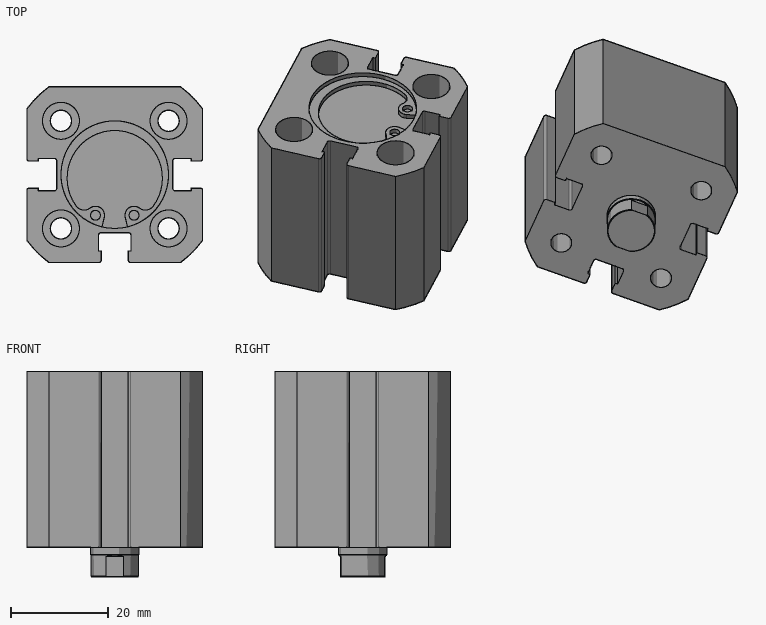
import cadquery as cq
import math

side = 36.0
half_side = side / 2
housing_height = side
overall_height = 42
corner_radius = 22.45
corner_end = math.sqrt(corner_radius**2 - half_side**2)
corner_mid = corner_radius / math.sqrt(2)

mount_offset = 11.0
mount_hole_radius = 2.15
counterbore_radius = 3.8
counterbore_depth = 7.0

slot_mouth_width = 5.5
slot_mouth_depth = 2.4
slot_width = 6.6
slot_depth = 6.1
slot_mouth_fillet = 0.5
slot_floor_fillet = 0.45
slot_angles = [0, 180, 270]

recess_radius = 11.0
ring_drop = 1.0
ring_thickness = 1.0
cover_thickness = 5.05
ring_top = housing_height - ring_drop
cover_top = ring_top - ring_thickness
cover_bottom = cover_top - cover_thickness

ring_inner_radius = 9.75
ring_inner_y = -0.7
lug_x = 3.95
lug_y = -8.3
lug_radius = 1.85
lug_hole_radius = 1.0
lug_blend_radius = 2.0
ring_end_lean = 13

rod_radius = 5.0
rod_collar_length = 1.55
rod_tip_radius = 4.87
rod_tip_chamfer = 0.13
rod_flat_distance = 4.55
rod_tip_z = housing_height - overall_height


def make_slot(angle):
    """T-shaped slot along Z, opening on the side at the given angle from +X."""
    floor_x = half_side - slot_depth
    step_x = half_side - slot_mouth_depth
    chamber = (
        cq.Workplane("XY")
        .center((floor_x + step_x) / 2, 0)
        .rect(step_x - floor_x, slot_width)
        .extrude(housing_height)
        .edges("|Z and <X")
        .fillet(slot_floor_fillet)
    )
    mouth_half = slot_mouth_width / 2
    fillet_start = half_side - slot_mouth_fillet
    mouth = (
        cq.Workplane("XY")
        .moveTo(step_x, -mouth_half)
        .lineTo(fillet_start, -mouth_half)
        .radiusArc((half_side, -mouth_half - slot_mouth_fillet), slot_mouth_fillet)
        .lineTo(half_side, mouth_half + slot_mouth_fillet)
        .radiusArc((fillet_start, mouth_half), slot_mouth_fillet)
        .lineTo(step_x, mouth_half)
        .close()
        .extrude(housing_height)
    )
    return chamber.union(mouth).rotate((0, 0, 0), (0, 0, 1), angle)


def make_housing():
    """Block with slots, mounting holes, the top recess and the rod hole."""
    body = (
        cq.Workplane("XY")
        .moveTo(half_side, -corner_end)
        .lineTo(half_side, corner_end)
        .threePointArc((corner_mid, corner_mid), (corner_end, half_side))
        .lineTo(-corner_end, half_side)
        .threePointArc((-corner_mid, corner_mid), (-half_side, corner_end))
        .lineTo(-half_side, -corner_end)
        .threePointArc((-corner_mid, -corner_mid), (-corner_end, -half_side))
        .lineTo(corner_end, -half_side)
        .threePointArc((corner_mid, -corner_mid), (half_side, -corner_end))
        .close()
        .extrude(housing_height)
    )
    for angle in slot_angles:
        body = body.cut(make_slot(angle))
    body = (
        body.faces(">Z")
        .workplane(origin=(0, 0, housing_height))
        .rect(2 * mount_offset, 2 * mount_offset, forConstruction=True)
        .vertices()
        .cboreHole(2 * mount_hole_radius, 2 * counterbore_radius, counterbore_depth)
    )
    recess = (
        cq.Workplane("XY")
        .workplane(offset=cover_bottom)
        .circle(recess_radius)
        .extrude(housing_height - cover_bottom)
    )
    rod_hole = cq.Workplane("XY").circle(rod_radius).extrude(cover_bottom)
    return body.cut(recess).cut(rod_hole)


def make_cover():
    """Plain disc that closes the recess below the retaining ring."""
    return cq.Workplane("XY").workplane(offset=cover_bottom).circle(recess_radius).extrude(cover_thickness)


def toward(start, end, distance):
    """Point at the given distance from start on the line to end."""
    span = math.dist(start, end)
    return (
        start[0] + (end[0] - start[0]) * distance / span,
        start[1] + (end[1] - start[1]) * distance / span,
    )


def mirrored(point):
    """Point reflected in the YZ plane."""
    return (-point[0], point[1])


def make_retaining_ring():
    """Open ring with two eyed lugs, its gap facing -Y."""
    ring_center = (0, ring_inner_y)
    lug_center = (lug_x, lug_y)

    to_blend = ring_inner_radius - lug_blend_radius
    lug_to_blend = lug_radius + lug_blend_radius
    to_lug = math.dist(ring_center, lug_center)
    lug_angle = math.atan2(lug_y - ring_inner_y, lug_x)
    spread = math.acos((to_blend**2 + to_lug**2 - lug_to_blend**2) / (2 * to_blend * to_lug))
    blend_angle = lug_angle + spread
    blend_center = (
        to_blend * math.cos(blend_angle),
        ring_inner_y + to_blend * math.sin(blend_angle),
    )
    opening_end = toward(ring_center, blend_center, ring_inner_radius)
    lug_start = toward(lug_center, blend_center, lug_radius)
    blend_middle = (
        (opening_end[0] + lug_start[0]) / 2,
        (opening_end[1] + lug_start[1]) / 2,
    )
    blend_mid = toward(blend_center, blend_middle, lug_blend_radius)

    lean = math.radians(ring_end_lean)
    lug_end = (lug_x - lug_radius * math.cos(lean), lug_y - lug_radius * math.sin(lean))
    lug_top = (lug_x, lug_y + lug_radius)
    run = (math.sin(lean), -math.cos(lean))
    along = lug_end[0] * run[0] + lug_end[1] * run[1]
    reach = -along + math.sqrt(along**2 - lug_end[0]**2 - lug_end[1]**2 + recess_radius**2)
    outer_end = (lug_end[0] + reach * run[0], lug_end[1] + reach * run[1])

    ring = (
        cq.Workplane("XY")
        .workplane(offset=cover_top)
        .moveTo(*outer_end)
        .threePointArc((0, recess_radius), mirrored(outer_end))
        .lineTo(*mirrored(lug_end))
        .threePointArc(mirrored(lug_top), mirrored(lug_start))
        .threePointArc(mirrored(blend_mid), mirrored(opening_end))
        .threePointArc((0, ring_inner_y + ring_inner_radius), opening_end)
        .threePointArc(blend_mid, lug_start)
        .threePointArc(lug_top, lug_end)
        .close()
        .extrude(ring_thickness)
    )
    lug_holes = (
        cq.Workplane("XY")
        .workplane(offset=cover_top)
        .pushPoints([lug_center, mirrored(lug_center)])
        .circle(lug_hole_radius)
        .extrude(ring_thickness)
    )
    return ring.cut(lug_holes)


def make_rod():
    """Rod from the cover down through the housing, with two wrench flats on its tip."""
    step = rod_radius - rod_tip_radius
    collar_z = -rod_collar_length
    rod = (
        cq.Workplane("XZ")
        .moveTo(0, cover_bottom)
        .lineTo(rod_radius, cover_bottom)
        .lineTo(rod_radius, collar_z + step)
        .lineTo(rod_tip_radius, collar_z)
        .lineTo(rod_tip_radius, rod_tip_z + rod_tip_chamfer)
        .lineTo(rod_tip_radius - rod_tip_chamfer, rod_tip_z)
        .lineTo(0, rod_tip_z)
        .close()
        .revolve(360, (0, 0, 0), (0, 1, 0))
    )
    flat_top = collar_z - (rod_tip_radius - rod_flat_distance)
    flat_cut = (
        cq.Workplane("YZ")
        .moveTo(rod_flat_distance, rod_tip_z)
        .lineTo(rod_flat_distance, flat_top)
        .lineTo(rod_tip_radius, collar_z)
        .lineTo(rod_tip_radius, rod_tip_z)
        .close()
        .extrude(rod_radius, both=True)
    )
    return rod.cut(flat_cut).cut(flat_cut.mirror("XZ"))


housing = make_housing()
cover = make_cover()
retaining_ring = make_retaining_ring()
rod = make_rod()

result = cq.Compound.makeCompound([housing.val(), cover.val(), retaining_ring.val(), rod.val()])